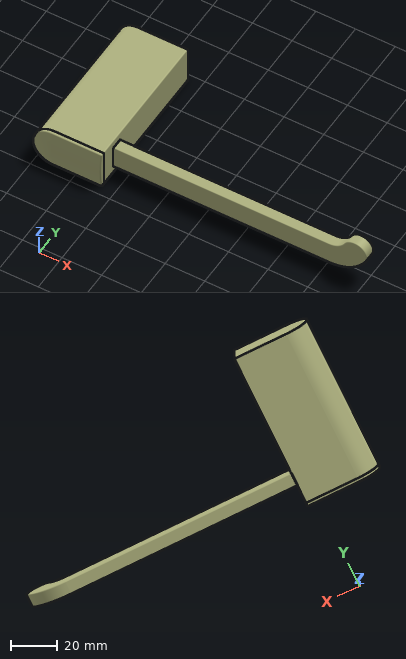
import cadquery as cq
import math

overall_length = 163.0
body_length = 35.0
body_height = 20.0
nose_radius = body_height / 2
total_depth = 73.5

cap_depth = 2.8
dome_rise = 1.06
dome_radius = (nose_radius**2 + dome_rise**2) / (2 * dome_rise)
edge_radius = 0.7

bar_height = 12.0
bar_width = 6.0
bar_center_y = 13.5
bar_edge_radius = 0.5
tip_radius = bar_height / 2
tip_top_z = 13.5
tip_x = overall_length - tip_radius
tip_z = tip_top_z - tip_radius
hook_start_x = 144.1


def make_housing():
    """D-shaped prism behind the end cap, with its long +X edges rounded."""
    prism = (
        cq.Workplane("XZ", origin=(0, total_depth, 0))
        .moveTo(nose_radius, nose_radius)
        .lineTo(body_length, nose_radius)
        .lineTo(body_length, -nose_radius)
        .lineTo(nose_radius, -nose_radius)
        .threePointArc((0, 0), (nose_radius, nose_radius))
        .close()
        .extrude(total_depth - cap_depth)
    )
    return prism.edges("|Y and >X").fillet(edge_radius)


def make_cap():
    """Cap whose face is arched in Z along the flat sides and spherical over the nose."""
    mid_radius = nose_radius / 2
    mid_y = dome_radius - math.sqrt(dome_radius**2 - mid_radius**2)
    nose = (
        cq.Workplane("YZ", origin=(nose_radius, 0, 0))
        .threePointArc((mid_y, mid_radius), (dome_rise, nose_radius))
        .lineTo(cap_depth, nose_radius)
        .lineTo(cap_depth, 0)
        .close()
        .revolve(180, (0, 0), (-1, 0))
    )
    flat_part = (
        cq.Workplane("YZ", origin=(nose_radius, 0, 0))
        .moveTo(dome_rise, nose_radius)
        .threePointArc((0, 0), (dome_rise, -nose_radius))
        .lineTo(cap_depth, -nose_radius)
        .lineTo(cap_depth, nose_radius)
        .close()
        .extrude(body_length - nose_radius)
    )
    cap = nose.union(flat_part)
    long_edges = cap.edges("|Y and >X")
    return cap.faces("<Y").edges().add(long_edges).fillet(edge_radius)


def make_bar():
    """Straight bar from the housing's +X face, ending in the upturned hook."""
    reach = tip_x - hook_start_x
    bend_radius = (reach**2 + tip_z**2) / (2 * tip_z)
    bend_angle = math.asin(reach / bend_radius)

    def on_bend(radius, angle):
        """Point on the bend at an angle from its start, as (X, Z)."""
        return (hook_start_x + radius * math.sin(angle), bend_radius - radius * math.cos(angle))

    inner_radius = bend_radius - tip_radius
    outer_radius = bend_radius + tip_radius
    tip_end = (
        tip_x + tip_radius * math.cos(bend_angle),
        tip_z + tip_radius * math.sin(bend_angle),
    )
    return (
        cq.Workplane("XZ", origin=(0, bar_center_y, 0))
        .moveTo(body_length, -tip_radius)
        .lineTo(hook_start_x, -tip_radius)
        .threePointArc(on_bend(outer_radius, bend_angle / 2), on_bend(outer_radius, bend_angle))
        .threePointArc(tip_end, on_bend(inner_radius, bend_angle))
        .threePointArc(on_bend(inner_radius, bend_angle / 2), (hook_start_x, tip_radius))
        .lineTo(body_length, tip_radius)
        .close()
        .extrude(bar_width / 2, both=True)
        .faces("<Y or >Y")
        .edges("not <X")
        .fillet(bar_edge_radius)
    )


housing = make_housing()
cap = make_cap()
bar = make_bar()
bodies = [housing, cap, bar]
result = cq.Compound.makeCompound([body.solids().val() for body in bodies])